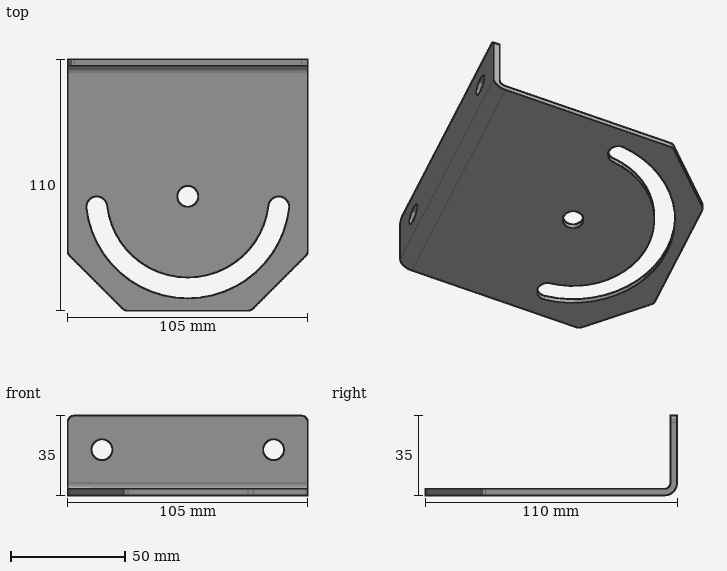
import cadquery as cq
import math

width = 105.0
length = 110.0
height = 35.0
thickness = 3.0
bend_inner_radius = 2.5
bend_outer_radius = bend_inner_radius + thickness
corner_radius = 3.0
front_chamfer = 25.0

hole_diameter = 9.0
hole_radius = hole_diameter / 2
mount_spacing = 75.0
mount_height = 20.0
pivot_from_front = 50.0
slot_radius = 40.0
slot_end_drop = 4.6

front_y = -pivot_from_front
back_y = front_y + length


def bent_sheet():
    """L-shaped sheet: flat base with an upright flange along the back."""
    outline = (
        cq.Workplane("YZ")
        .moveTo(front_y, 0)
        .lineTo(back_y, 0)
        .lineTo(back_y, height)
        .lineTo(back_y - thickness, height)
        .lineTo(back_y - thickness, thickness)
        .lineTo(front_y, thickness)
        .close()
    )
    sheet = outline.extrude(width / 2, both=True)
    inner_bend = cq.selectors.NearestToPointSelector((0, back_y - thickness, thickness))
    outer_bend = cq.selectors.NearestToPointSelector((0, back_y, 0))
    sheet = sheet.edges(inner_bend).fillet(bend_inner_radius)
    return sheet.edges(outer_bend).fillet(bend_outer_radius)


def base_blank():
    """Plan shape of the base: front corners cut off and softly rounded."""
    return (
        cq.Workplane("XY")
        .center(0, (front_y + back_y) / 2)
        .rect(width, length)
        .extrude(height)
        .edges("|Z and <Y")
        .chamfer(front_chamfer)
        .edges("|Z and (not >Y)")
        .fillet(corner_radius)
    )


def flange_blank():
    """Front shape of the flange: rounded top corners."""
    return (
        cq.Workplane("XZ", origin=(0, back_y, 0))
        .center(0, height / 2)
        .rect(width, height)
        .extrude(length)
        .edges("|Y and >Z")
        .fillet(corner_radius)
    )


def mounting_holes():
    return (
        cq.Workplane("XZ", origin=(0, back_y, mount_height))
        .pushPoints([(-mount_spacing / 2, 0), (mount_spacing / 2, 0)])
        .circle(hole_radius)
        .extrude(thickness)
    )


def pivot_hole():
    return cq.Workplane("XY").circle(hole_radius).extrude(thickness)


def curved_slot():
    """Round-ended slot, concentric with the pivot and bowed towards the front."""
    end_angle = math.asin(slot_end_drop / slot_radius)
    outer = slot_radius + hole_radius
    inner = slot_radius - hole_radius
    end_x = math.cos(end_angle)
    end_y = -math.sin(end_angle)
    cap_x = slot_radius * end_x + hole_radius * math.sin(end_angle)
    cap_y = slot_radius * end_y + hole_radius * math.cos(end_angle)
    return (
        cq.Workplane("XY")
        .moveTo(-outer * end_x, outer * end_y)
        .threePointArc((0, -outer), (outer * end_x, outer * end_y))
        .threePointArc((cap_x, cap_y), (inner * end_x, inner * end_y))
        .threePointArc((0, -inner), (-inner * end_x, inner * end_y))
        .threePointArc((-cap_x, cap_y), (-outer * end_x, outer * end_y))
        .close()
        .extrude(thickness)
    )


bracket = bent_sheet().intersect(base_blank()).intersect(flange_blank())
result = bracket.cut(mounting_holes()).cut(pivot_hole()).cut(curved_slot())